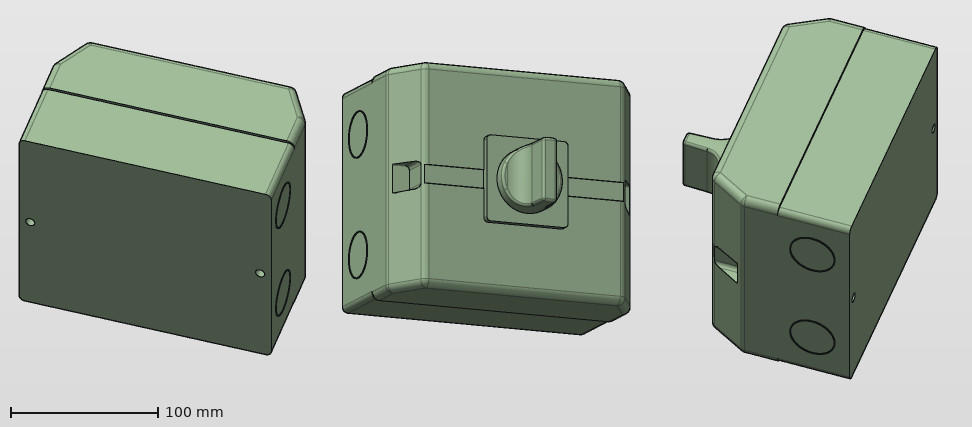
import cadquery as cq
import math

width = 180.0
lid_height = 157.0
base_height = 153.5
base_depth = 52.0
base_edge_radius = 4.2

shoulder_y = 77.5
lid_front_y = 105.5
slope_angle = 30.0
lid_edge_radius = 5.5

notch_width = 19.0
notch_floor_x = 75.4
notch_draft_angle = 3.0
notch_ledge_y = 82.6
notch_floor_radius = 3.0

channel_width = notch_width - 2 * notch_floor_radius
channel_depth = 0.8

fixing_hole_diameter = 6.5
fixing_hole_x = 82.0
fixing_hole_depth = 10.0

knockout_diameter = 32.5
knockout_groove_width = 0.5
knockout_groove_depth = 0.5
knockout_y = 27.0
knockout_z = 42.0

plate_size = 60.0
plate_thickness = 5.0
plate_corner_radius = 3.0

knob_diameter = 45.0
knob_height = 40.0
knob_skirt_height = 9.5
grip_tip_width = 10.6
grip_root_width = 12.2
grip_length = 18.0
knob_edge_radius = 2.0

plate_front_y = lid_front_y + plate_thickness


def edges_in_front_of(y):
    """Selector for edges whose centre lies beyond the given Y."""
    reach = width
    clearance = 0.1
    return cq.selectors.BoxSelector(
        (-reach, y + clearance, -reach),
        (reach, y + reach, reach),
    )


def make_base():
    block = cq.Workplane("XY").box(width, base_depth, base_height, centered=(True, False, True))
    return block.edges("|Y").fillet(base_edge_radius)


def make_lid():
    half_width = width / 2
    slope_run = (lid_front_y - shoulder_y) * math.tan(math.radians(slope_angle))
    front_half_width = half_width - slope_run
    outline = [
        (-half_width, base_depth),
        (half_width, base_depth),
        (half_width, shoulder_y),
        (front_half_width, lid_front_y),
        (-front_half_width, lid_front_y),
        (-half_width, shoulder_y),
    ]
    block = cq.Workplane("XY").polyline(outline).close().extrude(lid_height / 2, both=True)
    edges_off_seam = edges_in_front_of(base_depth)
    return block.edges(edges_off_seam).fillet(lid_edge_radius)


def make_notch(side):
    """Cutter for one shoulder; side is -1 for the -X end and +1 for the +X end."""
    cutter_depth = width / 2 - notch_floor_x
    cutter_length = lid_front_y - notch_ledge_y
    floor_center = (side * notch_floor_x, notch_ledge_y + cutter_length / 2, 0)
    cutter = (
        cq.Workplane("YZ", origin=floor_center)
        .rect(cutter_length, notch_width)
        .extrude(side * cutter_depth, taper=-notch_draft_angle)
    )
    floor_face = cutter.faces("<X" if side > 0 else ">X")
    return floor_face.edges("|Y").fillet(notch_floor_radius)


def make_channel(side):
    channel_length = (width - plate_size) / 2
    center_x = side * (plate_size + channel_length) / 2
    channel = cq.Workplane("XY").box(channel_length, channel_depth, channel_width)
    return channel.translate((center_x, lid_front_y - channel_depth / 2, 0))


def make_fixing_hole(side):
    hole = cq.Solid.makeCylinder(
        fixing_hole_diameter / 2,
        fixing_hole_depth,
        cq.Vector(side * fixing_hole_x, 0, 0),
        cq.Vector(0, 1, 0),
    )
    return cq.Workplane(obj=hole)


def make_knockout_groove(side, z):
    outer_radius = knockout_diameter / 2
    return (
        cq.Workplane("YZ", origin=(side * width / 2, knockout_y, z))
        .circle(outer_radius)
        .circle(outer_radius - knockout_groove_width)
        .extrude(-side * knockout_groove_depth)
    )


def make_plate():
    plate = cq.Workplane("XY").box(plate_size, plate_thickness, plate_size, centered=(True, False, True))
    return plate.edges("|Y").fillet(plate_corner_radius).translate((0, lid_front_y, 0))


def make_knob():
    radius = knob_diameter / 2
    tip_y = plate_front_y + knob_height
    skirt_y = plate_front_y + knob_skirt_height
    grip_root_y = tip_y - grip_length
    tip_x = grip_tip_width / 2
    root_x = grip_root_width / 2
    scoop_radius = grip_root_y - skirt_y
    scoop_end_x = root_x + scoop_radius
    diagonal = scoop_radius * math.sqrt(0.5)
    scoop_mid_x = scoop_end_x - diagonal
    scoop_mid_y = grip_root_y - diagonal
    profile = (
        cq.Workplane("XY")
        .moveTo(-radius, plate_front_y)
        .lineTo(radius, plate_front_y)
        .lineTo(radius, skirt_y)
        .lineTo(scoop_end_x, skirt_y)
        .threePointArc((scoop_mid_x, scoop_mid_y), (root_x, grip_root_y))
        .lineTo(tip_x, tip_y)
        .lineTo(-tip_x, tip_y)
        .lineTo(-root_x, grip_root_y)
        .threePointArc((-scoop_mid_x, scoop_mid_y), (-scoop_end_x, skirt_y))
        .lineTo(-radius, skirt_y)
        .close()
        .extrude(radius, both=True)
    )
    cylinder = cq.Workplane("XZ", origin=(0, plate_front_y, 0)).circle(radius).extrude(-knob_height)
    knob = cylinder.intersect(profile)
    rim = edges_in_front_of(skirt_y - knob_edge_radius)
    across_scoops = cq.selectors.ParallelDirSelector(cq.Vector(0, 0, 1))
    tip_edges = knob.faces(">Y").edges("|Z")
    return knob.edges(rim - across_scoops).add(tip_edges).fillet(knob_edge_radius)


result = make_base().union(make_lid()).union(make_plate()).union(make_knob())
for end in (-1, 1):
    result = result.cut(make_notch(end)).cut(make_channel(end)).cut(make_fixing_hole(end))
    for center_z in (-knockout_z, knockout_z):
        result = result.cut(make_knockout_groove(end, center_z))